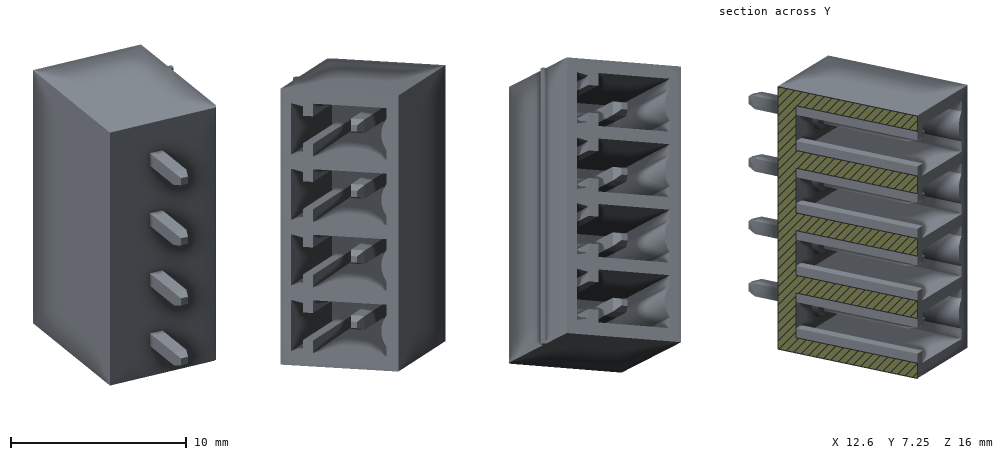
import cadquery as cq


overall_length = 12.6
overall_width = 7.25

housing_length = 9.22
housing_width = 7.01
housing_height = 16.04
back_corner_radius = 0.3

rib_start = 3.19
rib_length = 0.4
rib_rise = overall_width - housing_width
rib_radius = 0.2

contact_count = 4
contact_pitch = 3.81
contact_y = 3.0

pocket_depth = 8.0
pocket_near_y = 0.7
rail_near_y = 5.08
rail_far_y = 5.68
pocket_far_y = 6.38
mouth_half_height = 1.54
floor_half_height = 1.48
rail_half_gap = 0.8
undercut_half_height = 1.35
far_half_height = 1.49

key_half_height = 0.91
key_rise = 0.3

collar_diameter = 1.8
collar_height = 0.5
collar_radius = 0.22

pin_width = 0.8
pin_start = 1.2
mating_tip_width = 0.37
mating_tip_length = 0.75
tail_tip_width = 0.45
tail_tip_length = 0.53

first_contact_z = (housing_height - (contact_count - 1) * contact_pitch) / 2
contact_heights = [first_contact_z + i * contact_pitch for i in range(contact_count)]


def contact_plane(x, z):
    """Plane facing +X, centred on a contact row; local x is Y and local y is Z."""
    return cq.Workplane(cq.Plane(origin=(x, 0, z), xDir=(0, 1, 0), normal=(1, 0, 0)))


def make_housing():
    block = cq.Workplane("XY").box(housing_length, housing_width, housing_height, centered=False)
    return block.edges(">X and >Y").fillet(back_corner_radius)


def make_rib():
    """Full-height rib with a square front edge and a rounded back edge."""
    root_y = housing_width - rib_rise
    rib = cq.Workplane("XY").box(rib_length, 2 * rib_rise, housing_height, centered=False)
    rib = rib.edges(">X and >Y").fillet(rib_radius)
    return rib.translate((rib_start, root_y, 0))


def pocket_section(x, z, wall_half_height):
    """Pocket outline at depth x, with the main walls at the given half height."""
    return (
        contact_plane(x, z)
        .moveTo(pocket_near_y, -wall_half_height)
        .lineTo(pocket_near_y, wall_half_height)
        .lineTo(rail_near_y, wall_half_height)
        .lineTo(rail_near_y, rail_half_gap)
        .lineTo(rail_far_y, rail_half_gap)
        .lineTo(rail_far_y, undercut_half_height)
        .lineTo(pocket_far_y, far_half_height)
        .lineTo(pocket_far_y, -far_half_height)
        .lineTo(rail_far_y, -undercut_half_height)
        .lineTo(rail_far_y, -rail_half_gap)
        .lineTo(rail_near_y, -rail_half_gap)
        .lineTo(rail_near_y, -wall_half_height)
        .close()
    )


def make_key(z):
    """Rounded ridge that runs along the -Y wall of a pocket."""
    ridge = contact_plane(0, z).moveTo(pocket_near_y, -key_half_height)
    ridge = ridge.threePointArc((pocket_near_y + key_rise, 0), (pocket_near_y, key_half_height))
    return ridge.close().extrude(pocket_depth)


def make_pocket(z):
    """Mating pocket with two guide rails, drafted main walls and a rounded key."""
    mouth = pocket_section(0, z, mouth_half_height).wire().val()
    floor = pocket_section(pocket_depth, z, floor_half_height).wire().val()
    pocket = cq.Workplane(cq.Solid.makeLoft([mouth, floor], True))
    return pocket.cut(make_key(z))


def make_collar(z):
    """Round collar on the pocket floor, sunk into the back wall so that the two join."""
    front_x = pocket_depth - collar_height
    back_x = (pocket_depth + housing_length) / 2
    collar = contact_plane(front_x, z).center(contact_y, 0).circle(collar_diameter / 2)
    return collar.extrude(back_x - front_x).edges("<X").fillet(collar_radius)


def make_taper(x, z, start_width, end_width, length):
    return (
        contact_plane(x, z)
        .center(contact_y, 0)
        .rect(start_width, start_width)
        .workplane(offset=length)
        .rect(end_width, end_width)
        .loft()
    )


def make_pin(z):
    shaft_start = pin_start + mating_tip_length
    shaft_end = overall_length - tail_tip_length
    shaft = contact_plane(shaft_start, z).center(contact_y, 0).rect(pin_width, pin_width)
    shaft = shaft.extrude(shaft_end - shaft_start)
    mating_tip = make_taper(pin_start, z, mating_tip_width, pin_width, mating_tip_length)
    tail_tip = make_taper(shaft_end, z, pin_width, tail_tip_width, tail_tip_length)
    return shaft.union(mating_tip).union(tail_tip)


result = make_housing().union(make_rib())
for height in contact_heights:
    result = result.cut(make_pocket(height))
    result = result.union(make_collar(height))
    result = result.union(make_pin(height))